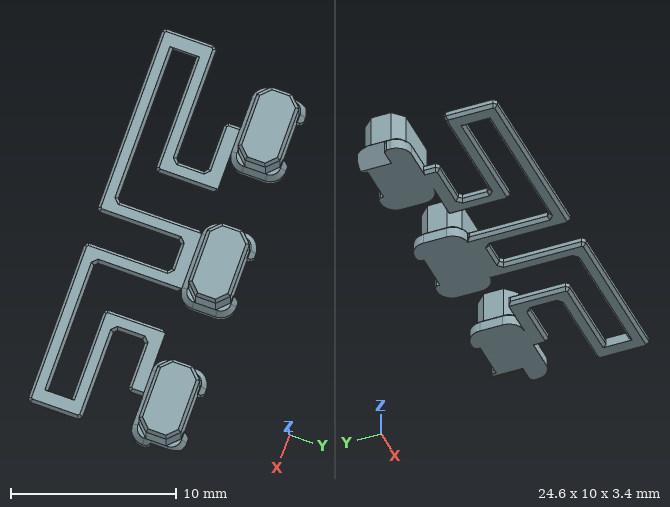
import cadquery as cq
import math


button_pitch = 8.9
button_height = 3.4
stem_length = 4.8
stem_width = 2.7
stem_corner = 0.7
stem_top_chamfer = 0.2
flange_length = 5.5
flange_width = 3.5
flange_corner_radius = 1.0
flange_height = 1.05
flange_chamfer = 0.35

slot_length = 2.5
mouth_chamfer = 0.2

undercut_inset = 0.2
undercut_width = 2.05
undercut_angle = 40

wire_thickness = 0.7
wire_width = 1.0
wire_chamfer = 0.2
row_gap = 1.5
bridge_half_length = 2.0
loop_inner_x = 4.5
tab_end_x = 8.8
left_end_x = 13.0
right_end_x = 11.45

tolerance = 1e-6

front_row_top = wire_width
middle_row_bottom = front_row_top + row_gap
middle_row_top = middle_row_bottom + wire_width
rear_row_bottom = 5.5
rear_row_top = rear_row_bottom + wire_width
button_y = rear_row_top + flange_width / 2
flange_rear = rear_row_top + flange_width


def half_wire(end_x):
    """Wire on the +X side, from the middle button out to end_x and back to the outer button."""
    leg_inner = bridge_half_length - wire_width
    loop_outer = loop_inner_x + wire_width
    pocket_end = end_x - wire_width
    outline = [
        (0, rear_row_top),
        (bridge_half_length, rear_row_top),
        (bridge_half_length, front_row_top),
        (pocket_end, front_row_top),
        (pocket_end, middle_row_bottom),
        (loop_inner_x, middle_row_bottom),
        (loop_inner_x, rear_row_top),
        (tab_end_x, rear_row_top),
        (tab_end_x, rear_row_bottom),
        (loop_outer, rear_row_bottom),
        (loop_outer, middle_row_top),
        (end_x, middle_row_top),
        (end_x, 0),
        (leg_inner, 0),
        (leg_inner, rear_row_bottom),
        (0, rear_row_bottom),
    ]
    wire = cq.Workplane("XY").polyline(outline).close().extrude(wire_thickness)

    def is_exposed(edge):
        center = edge.Center()
        plain_distances = (center.y - rear_row_top, center.x, center.x - pocket_end)
        return all(abs(distance) > tolerance for distance in plain_distances)

    wire = wire.edges("|Z").filter(is_exposed).chamfer(wire_chamfer)
    wire = wire.faces("<Z or >Z").edges().filter(is_exposed).chamfer(wire_chamfer)

    rear_corner_cut = (
        cq.Workplane("XY")
        .pushPoints([(bridge_half_length, rear_row_top), (loop_inner_x, rear_row_top)])
        .polygon(4, 2 * wire_chamfer)
        .extrude(wire_thickness)
    )
    return wire.cut(rear_corner_cut)


def button():
    """Button at X = 0: octagonal stem on a rounded flange that is slotted at the rear."""
    flange = (
        cq.Workplane("XY")
        .box(flange_length, flange_width, flange_height, centered=(True, True, False))
        .edges("|Z").fillet(flange_corner_radius)
        .faces(">Z").chamfer(flange_chamfer)
    )
    slot_depth = (flange_width - stem_width) / 2
    half_slot = slot_length / 2
    half_mouth = half_slot + mouth_chamfer
    slot_outline = [
        (-half_mouth, flange_width / 2),
        (-half_slot, flange_width / 2 - mouth_chamfer),
        (-half_slot, flange_width / 2 - slot_depth),
        (half_slot, flange_width / 2 - slot_depth),
        (half_slot, flange_width / 2 - mouth_chamfer),
        (half_mouth, flange_width / 2),
    ]
    slot = cq.Workplane("XY").polyline(slot_outline).close().extrude(flange_height)
    stem = (
        cq.Workplane("XY")
        .box(stem_length, stem_width, button_height, centered=(True, True, False))
        .edges("|Z").chamfer(stem_corner)
        .faces(">Z").chamfer(stem_top_chamfer)
    )
    return flange.cut(slot).union(stem).translate((0, button_y, 0))


def end_undercut():
    """Cutter for a button at X = 0: wedge below its +X end, open to the rear."""
    end_x = flange_length / 2
    edge_z = flange_height - flange_chamfer + undercut_inset
    edge_x = end_x - undercut_inset
    root_x = edge_x - edge_z / math.tan(math.radians(undercut_angle))
    front_y = flange_rear - undercut_width
    wedge = (
        cq.Workplane("XZ", origin=(0, flange_rear, 0))
        .polyline([(root_x, 0), (edge_x, edge_z), (end_x, edge_z), (end_x, 0)])
        .close()
        .extrude(undercut_width)
    )
    mouth = (
        cq.Workplane("XY")
        .polyline([
            (edge_x, front_y),
            (end_x, front_y - mouth_chamfer),
            (end_x, front_y),
        ])
        .close()
        .extrude(edge_z)
    )
    return wedge.union(mouth)


outer_button = button().cut(end_undercut()).translate((button_pitch, 0, 0))

result = (
    half_wire(right_end_x)
    .union(half_wire(left_end_x).mirror("YZ"))
    .union(button())
    .union(outer_button)
    .union(outer_button.mirror("YZ"))
)